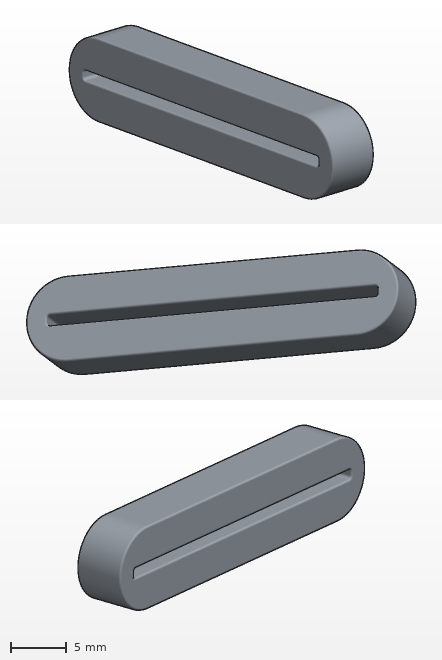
import cadquery as cq

length = 35.5
height = 8.0
depth = 5.0

slot_length = 31.52
slot_height = 1.0
slot_corner_radius = 0.3

edge_radius = 0.2


def make_bar():
    return cq.Workplane("XZ").slot2D(length, height).extrude(depth / 2, both=True)


def make_slot_cutter():
    return (
        cq.Workplane("XZ")
        .rect(slot_length, slot_height)
        .extrude(depth / 2, both=True)
        .edges("|Y")
        .fillet(slot_corner_radius)
    )


slotted_bar = make_bar().cut(make_slot_cutter())
result = slotted_bar.faces("<Y or >Y").edges().fillet(edge_radius)